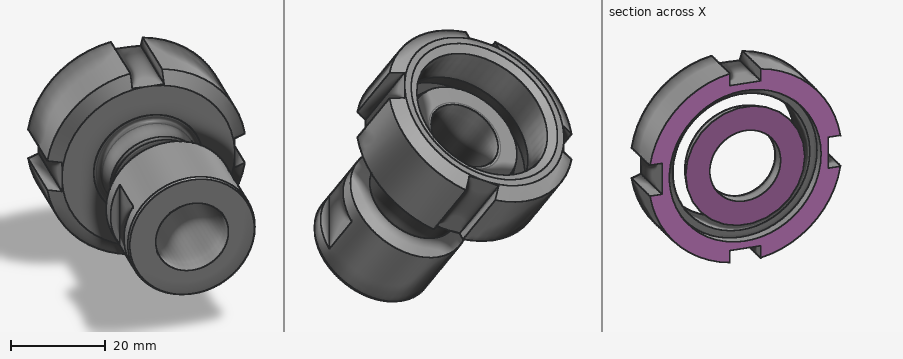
import cadquery as cq
import math

overall_length = 51.0
bore_radius = 16.0 / 2
neck_radius = 20.95 / 2
joint_x = 25.9
joint_radius = 19.1 / 2

nut_length = 18.0
nut_radius = 44.0 / 2
nut_face_radius = 38.0 / 2
nut_chamfer_length = 1.7
nut_bore_radius = 31.15 / 2
nut_mouth_radius = 34.95 / 2
nut_mouth_depth = 1.0
relief_radius = 34.4 / 2
relief_start = 9.85
shoulder_x = 14.3
slot_width = 7.0
slot_floor = 18.95
slot_count = 4

collar_radius = 28.65 / 2
collar_front_radius = 25.3 / 2
collar_face_x = 9.0
face_setback = 0.25
hub_radius = 24.0 / 2
neck_fillet = 1.0
neck_start = 18.9
hub_end = neck_start - neck_fillet
face_land_radius = 17.1 / 2
liner_bevel_length = 0.85

adaptor_radius = 28.0 / 2
adaptor_bevel_length = 0.6
cone_start = 32.05
cone_end = 34.05
end_chamfer_length = 0.55
end_chamfer_height = 0.3
flat_start = 37.45
flat_end = 47.6
flat_distance = 11.95


def revolve_about_x(profile):
    return profile.close().revolve(360, (0, 0, 0), (1, 0, 0))


def make_nut():
    profile = (
        cq.Workplane("XY")
        .moveTo(0, nut_mouth_radius)
        .lineTo(0, nut_face_radius)
        .lineTo(nut_chamfer_length, nut_radius)
        .lineTo(nut_length - nut_chamfer_length, nut_radius)
        .lineTo(nut_length, nut_face_radius)
        .lineTo(nut_length, hub_radius)
        .lineTo(shoulder_x, hub_radius)
        .lineTo(shoulder_x, relief_radius)
        .lineTo(relief_start, relief_radius)
        .lineTo(relief_start, nut_bore_radius)
        .lineTo(nut_mouth_depth, nut_bore_radius)
    )
    nut = revolve_about_x(profile)

    slot = cq.Workplane("XY").box(
        nut_length, slot_width, nut_radius, centered=(False, True, False)
    ).translate((0, 0, slot_floor))
    for index in range(slot_count):
        nut = nut.cut(slot.rotate((0, 0, 0), (1, 0, 0), index * 360 / slot_count))
    return nut


def make_liner():
    diagonal = math.sqrt(0.5)
    fillet_center_radius = neck_radius + neck_fillet
    profile = (
        cq.Workplane("XY")
        .moveTo(collar_face_x, bore_radius)
        .lineTo(collar_face_x, face_land_radius)
        .lineTo(collar_face_x + face_setback, collar_front_radius)
        .lineTo(shoulder_x, collar_radius)
        .lineTo(shoulder_x, hub_radius)
        .lineTo(hub_end, hub_radius)
        .lineTo(hub_end, fillet_center_radius)
        .threePointArc(
            (neck_start - neck_fillet * diagonal, fillet_center_radius - neck_fillet * diagonal),
            (neck_start, neck_radius),
        )
        .lineTo(joint_x - liner_bevel_length, neck_radius)
        .lineTo(joint_x, joint_radius)
        .lineTo(joint_x, bore_radius)
    )
    return revolve_about_x(profile)


def make_adaptor():
    profile = (
        cq.Workplane("XY")
        .moveTo(joint_x, bore_radius)
        .lineTo(joint_x, joint_radius)
        .lineTo(joint_x + adaptor_bevel_length, neck_radius)
        .lineTo(cone_start, neck_radius)
        .lineTo(cone_end, adaptor_radius)
        .lineTo(overall_length - end_chamfer_length, adaptor_radius)
        .lineTo(overall_length, adaptor_radius - end_chamfer_height)
        .lineTo(overall_length, bore_radius)
    )
    adaptor = revolve_about_x(profile)

    flat_cutter = cq.Workplane("XY").box(
        flat_end - flat_start, adaptor_radius, 2 * adaptor_radius, centered=(False, False, True)
    ).translate((flat_start, flat_distance, 0))
    return adaptor.cut(flat_cutter).cut(flat_cutter.mirror("XZ"))


nut = make_nut()
liner = make_liner()
adaptor = make_adaptor()

result = cq.Compound.makeCompound([nut.val(), liner.val(), adaptor.val()])